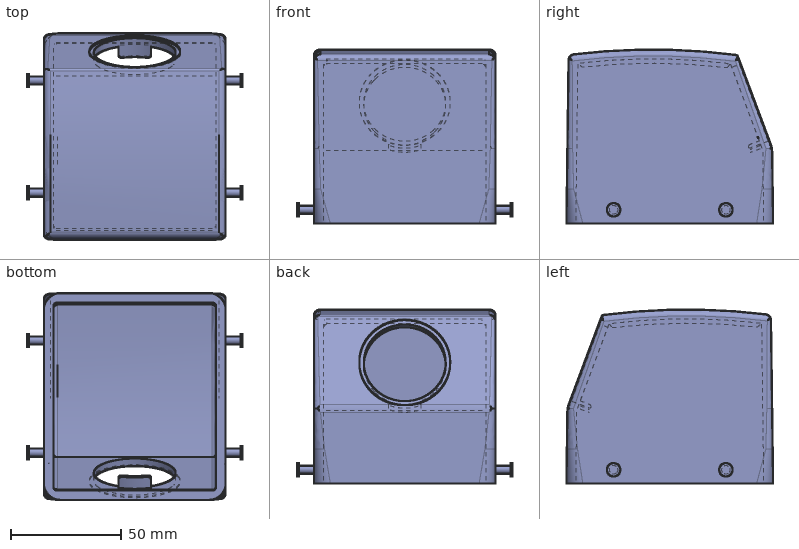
import cadquery as cq
import math

OVERSHOOT = 9.8

WIDTH = 82.6
BASE_DEPTH = 94.0
DRAFT = 0.75
SLOPE = 20.5
KINK_Z = 34.1
KINK_RADIUS = 10.8
BLEND_Z = 15.7
WALL = 4.3

CROWN_Y = -7.8
CROWN_Z = 79.1
CROWN_RADIUS = 294.0
ROOF_SIDE_FILLET = 2.9
ROOF_REAR_FILLET = 1.4
TALL_Z = CROWN_Z + OVERSHOOT

CORNER_STAGES = [
    (0, 7.5, 7.5),
    (BLEND_Z, 3.1, 4.9),
    (KINK_Z, 2.45, 2.8),
    (TALL_Z, 1.5, 1.5),
]
CAVITY_CORNER = 2.0

ENTRY_Y = 38.7
ENTRY_DIAMETER = 37.2
RECESS_DIAMETER = 41.4
RECESS_DEPTH = 0.6
TAB_WIDTH = 14.9
TAB_REACH = 9.8
TAB_THICKNESS = 2.0
TAB_CORNER = 1.8

PIN_SPAN = 98.0
PIN_SPACING = 51.0
PIN_Z = 6.3
PIN_DIAMETER = 3.8
HEAD_DIAMETER = 6.1
HEAD_THICKNESS = 1.0

ROOF_ITERATIONS = 8
slope_angle = math.radians(SLOPE)


def front_y(z):
    """Front wall: leans inwards by the draft all the way up."""
    return -BASE_DEPTH / 2 + z * math.tan(math.radians(DRAFT))


def rear_y(z):
    """Rear wall: lightly drafted up to the kink, then inclined."""
    if z <= KINK_Z:
        return -front_y(z)
    return -front_y(KINK_Z) - (z - KINK_Z) * math.tan(slope_angle)


def section(z, front_corner, rear_corner):
    """Rounded rectangle of the walls at one height."""
    depth = rear_y(z) - front_y(z)
    middle = (rear_y(z) + front_y(z)) / 2
    return (
        cq.Sketch()
        .rect(WIDTH, depth)
        .vertices("<Y")
        .fillet(front_corner)
        .reset()
        .vertices(">Y")
        .fillet(rear_corner)
        .reset()
        .moved(cq.Location(cq.Vector(0, middle, z)))
    )


def roof_z(y):
    """Height of the crowned roof."""
    return CROWN_Z - CROWN_RADIUS + math.sqrt(CROWN_RADIUS**2 - (y - CROWN_Y) ** 2)


def wall_top(wall_y):
    """Point where the crowned roof meets a leaning wall, found by repeated substitution."""
    z = CROWN_Z
    for _ in range(ROOF_ITERATIONS):
        z = roof_z(wall_y(z))
    return (wall_y(z), z)


def side_outline(bottom_z):
    """Outline in the YZ plane, closed by the crowned roof arc."""
    return (
        cq.Workplane("YZ")
        .moveTo(front_y(bottom_z), bottom_z)
        .lineTo(rear_y(bottom_z), bottom_z)
        .lineTo(rear_y(KINK_Z), KINK_Z)
        .lineTo(*wall_top(rear_y))
        .threePointArc((CROWN_Y, CROWN_Z), wall_top(front_y))
        .close()
    )


def corner_envelope():
    """Walls with their corner radii shrinking upwards, left tall above the roof."""
    envelope = cq.Workplane()
    for lower, upper in zip(CORNER_STAGES, CORNER_STAGES[1:]):
        stage = cq.Workplane().placeSketch(section(*lower), section(*upper)).loft(ruled=True)
        envelope = envelope.add(stage)
    envelope = envelope.combine()
    return envelope.clean()


def side_envelope():
    """Side outline with rounded front and rear roof edges and a rounded kink."""
    prism = side_outline(0).extrude(WIDTH / 2 + OVERSHOOT, both=True)
    prism = prism.edges(cq.NearestToPointSelector((0, *wall_top(front_y)))).fillet(ROOF_SIDE_FILLET)
    prism = prism.edges(cq.NearestToPointSelector((0, *wall_top(rear_y)))).fillet(ROOF_REAR_FILLET)
    return prism.edges(cq.NearestToPointSelector((0, rear_y(KINK_Z), KINK_Z))).fillet(KINK_RADIUS)


def roof_envelope():
    """Full-width block under the crowned roof, with both long roof edges rounded."""
    front = -BASE_DEPTH / 2 - OVERSHOOT
    rear = BASE_DEPTH / 2 + OVERSHOOT
    block = (
        cq.Workplane("YZ")
        .moveTo(front, 0)
        .lineTo(rear, 0)
        .lineTo(rear, roof_z(rear))
        .threePointArc((CROWN_Y, CROWN_Z), (front, roof_z(front)))
        .close()
        .extrude(WIDTH / 2, both=True)
    )
    return block.edges("%CIRCLE").fillet(ROOF_SIDE_FILLET)


def cavity():
    """Hollow that follows the side outline one wall inside it, open at the bottom."""
    inside = side_outline(-WALL - OVERSHOOT).offset2D(-WALL).extrude(WIDTH / 2 - WALL, both=True)
    return inside.faces("|X").edges("not <Z").fillet(CAVITY_CORNER)


entry_frame = cq.Plane(
    origin=(0, ENTRY_Y, KINK_Z + (rear_y(KINK_Z) - ENTRY_Y) / math.tan(slope_angle)),
    xDir=(-1, 0, 0),
    normal=(0, math.cos(slope_angle), math.sin(slope_angle)),
)


def cylinder(frame, diameter, start, end):
    return cq.Workplane(frame).workplane(offset=start).circle(diameter / 2).extrude(end - start)


def entry_tab():
    """Curved tongue that carries the low side of the entry bore inwards."""
    sleeve_diameter = ENTRY_DIAMETER + 2 * TAB_THICKNESS
    sleeve = cylinder(entry_frame, sleeve_diameter, -TAB_REACH, -WALL / 2)
    upright_frame = cq.Plane(entry_frame.origin, entry_frame.xDir, entry_frame.yDir)
    tongue = (
        cq.Workplane(upright_frame)
        .rect(TAB_WIDTH, 2 * TAB_REACH)
        .extrude(-sleeve_diameter)
        .edges(cq.selectors.ParallelDirSelector(entry_frame.yDir))
        .fillet(TAB_CORNER)
    )
    return sleeve.intersect(tongue)


def pin_pair(y):
    """Two headed pins that point outwards from the side walls."""
    tip = PIN_SPAN / 2
    pair = cq.Workplane()
    for side in (-1, 1):
        frame = cq.Plane(origin=(0, y, PIN_Z), xDir=(0, 1, 0), normal=(side, 0, 0))
        pair = pair.add(cylinder(frame, PIN_DIAMETER, (WIDTH - WALL) / 2, tip))
        pair = pair.add(cylinder(frame, HEAD_DIAMETER, tip - HEAD_THICKNESS, tip))
    return pair.combine()


shell = corner_envelope().intersect(roof_envelope()).intersect(side_envelope()).cut(cavity())
hood = shell.union(entry_tab())
hood = hood.cut(cylinder(entry_frame, ENTRY_DIAMETER, -TAB_REACH, OVERSHOOT))
hood = hood.cut(cylinder(entry_frame, RECESS_DIAMETER, -RECESS_DEPTH, OVERSHOOT))
for pin_y in (-PIN_SPACING / 2, PIN_SPACING / 2):
    hood = hood.union(pin_pair(pin_y))

result = hood